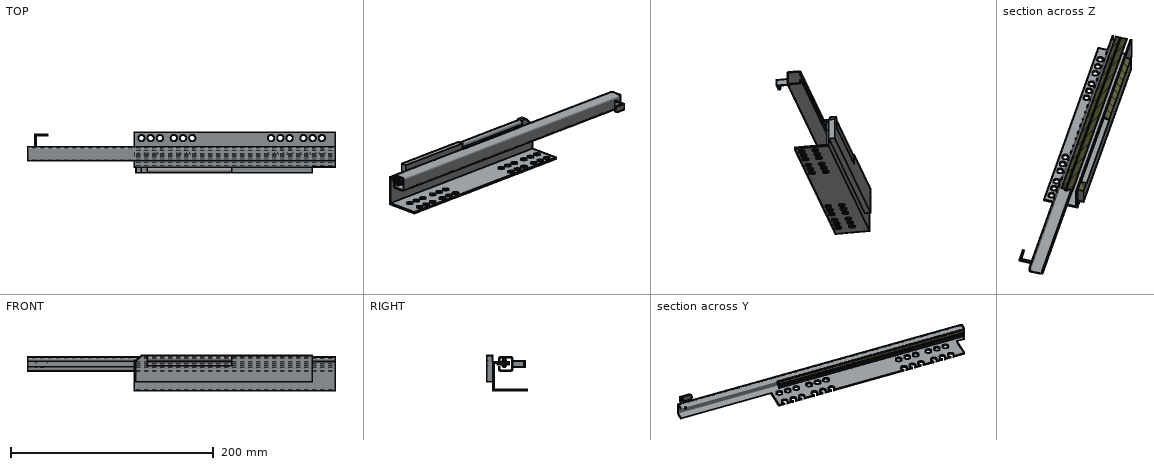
import cadquery as cq

slide_length = 304.0
overall_width = 40.0
overall_height = 35.0

rail_size = 14.0
rail_wall = 1.0
rail_corner_radius = 2.0
rail_front_y = 12.0
rail_top_z = 33.5
rail_slot_height = 5.8
rail_back_y = rail_front_y + rail_size
rail_center_y = rail_front_y + rail_size / 2
rail_center_z = rail_top_z - rail_size / 2

tab_x = 7.3
tab_end_x = 19.8
tab_back_y = 38.0
tab_thickness = 1.5
tab_height = 6.0

bracket_start_x = 105.2
bracket_length = slide_length - bracket_start_x
bracket_top_z = 29.0
sheet = 1.67

hole_diameter = 6.0
first_hole_x = bracket_start_x + 7.3
first_row_y = overall_width - 5.8
row_spacing = 13.7
hole_pitch = 9.0
triple_spacing = 32.0
group_spacing = 128.0

contact_z = bracket_top_z - sheet
guide_end_y = 22.2
strip_front_y = 10.5
ridge_center_y = 17.3
ridge_base_width = 4.5
ridge_crest_width = 1.8
upper_ridge_height = 5.0
lower_ridge_height = 4.0
groove_width = 2.0
groove_depth = 2.0

damper_thickness = 5.8
damper_start_x = 107.0
damper_end_x = 281.2
damper_bottom_z = 8.8
damper_chamfer = 5.5
window_start_x = 118.3
window_end_x = 201.5
window_depth = 10.0
cylinder_radius = damper_thickness / 2

web_back_y = damper_thickness + sheet


def box(x_range, y_range, z_range):
    """Box between the given lower and upper limits."""
    (x0, x1), (y0, y1), (z0, z1) = x_range, y_range, z_range
    return cq.Workplane("XY").box(x1 - x0, y1 - y0, z1 - z0, centered=False).translate((x0, y0, z0))


def rounded_bar(size, corner_radius):
    """Full-length square bar on the rail axis with rounded long edges."""
    return (
        cq.Workplane("YZ")
        .center(rail_center_y, rail_center_z)
        .rect(size, size)
        .extrude(slide_length)
        .edges("|X")
        .fillet(corner_radius)
    )


def make_tab():
    """Tab standing out from the rail, bent towards +X with a round end."""
    end_radius = tab_height / 2
    end_center_x = tab_end_x - end_radius
    bottom_z = rail_center_z - end_radius
    top_z = rail_center_z + end_radius
    arm = box((tab_x, tab_x + tab_thickness), (rail_back_y - rail_wall / 2, tab_back_y), (bottom_z, top_z))
    hook = box((tab_x, end_center_x), (tab_back_y - tab_thickness, tab_back_y), (bottom_z, top_z))
    round_end = (
        cq.Workplane("XZ", origin=(end_center_x, tab_back_y, rail_center_z))
        .circle(end_radius)
        .extrude(tab_thickness)
    )
    return arm.union(hook).union(round_end)


def make_rail():
    """C-section rail with its tab."""
    outside = rounded_bar(rail_size, rail_corner_radius)
    inside = rounded_bar(rail_size - 2 * rail_wall, rail_corner_radius - rail_wall)
    slot = box(
        (0, slide_length),
        (rail_front_y, rail_center_y),
        (rail_center_z - rail_slot_height / 2, rail_center_z + rail_slot_height / 2),
    )
    return outside.cut(inside).cut(slot).union(make_tab())


def guide_layer(front_y, side, ridge_height):
    """Flat strip on one side of the contact plane (+1 above, -1 below) with a grooved ridge."""

    def height(distance):
        return contact_z + side * distance

    outline = [
        (front_y, height(0)),
        (front_y, height(sheet)),
        (ridge_center_y - ridge_base_width / 2, height(sheet)),
        (ridge_center_y - ridge_crest_width / 2, height(ridge_height)),
        (ridge_center_y + ridge_crest_width / 2, height(ridge_height)),
        (ridge_center_y + ridge_base_width / 2, height(sheet)),
        (guide_end_y, height(sheet)),
        (guide_end_y, height(0)),
        (ridge_center_y + groove_width / 2, height(0)),
        (ridge_center_y, height(groove_depth)),
        (ridge_center_y - groove_width / 2, height(0)),
    ]
    return (
        cq.Workplane("YZ")
        .workplane(offset=bracket_start_x)
        .polyline(outline)
        .close()
        .extrude(bracket_length)
    )


def hole_positions():
    """Hole centres in the base flange, the second row being under the rail."""
    return [
        (first_hole_x + group * group_spacing + triple * triple_spacing + hole * hole_pitch, row_y)
        for row_y in (first_row_y, first_row_y - row_spacing)
        for group in range(2)
        for triple in range(2)
        for hole in range(3)
    ]


def make_bracket():
    """Base flange with mounting holes, upright web and the lip that reaches into the rail."""
    x_range = (bracket_start_x, slide_length)
    base = box(x_range, (damper_thickness, overall_width), (0, sheet))
    web = box(x_range, (damper_thickness, web_back_y), (0, bracket_top_z))
    lip = guide_layer(damper_thickness, 1, upper_ridge_height)
    holes = cq.Workplane("XY").pushPoints(hole_positions()).circle(hole_diameter / 2).extrude(sheet)
    return base.union(web).union(lip).cut(holes)


def make_guide_strip():
    """Strip lying under the bracket lip, with its ridge pointing down."""
    return guide_layer(strip_front_y, -1, lower_ridge_height)


def make_damper():
    """Flat block with a chamfered front corner and a cylinder across its window."""
    y_range = (0, damper_thickness)
    block = box((damper_start_x, damper_end_x), y_range, (damper_bottom_z, overall_height))
    block = block.edges("|Y and <X and >Z").chamfer(damper_chamfer)
    window = box((window_start_x, window_end_x), y_range, (overall_height - window_depth, overall_height))
    cylinder = (
        cq.Workplane("YZ")
        .workplane(offset=window_start_x)
        .center(cylinder_radius, overall_height - cylinder_radius)
        .circle(cylinder_radius)
        .extrude(window_end_x - window_start_x)
    )
    return block.cut(window).union(cylinder)


rail = make_rail()
bracket = make_bracket()
guide_strip = make_guide_strip()
damper = make_damper()

result = cq.Compound.makeCompound([rail.val(), bracket.val(), guide_strip.val(), damper.val()])